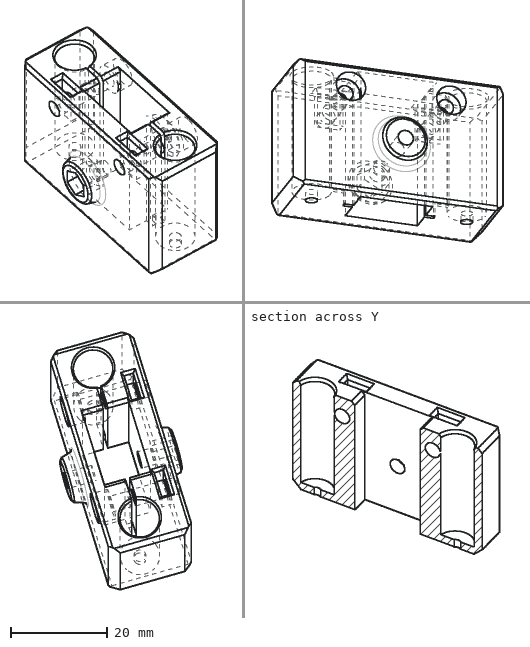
import cadquery as cq
import math

LENGTH = 46.0
WIDTH = 18.0
HEIGHT = 28.5

CORNER_CHAMFER = 2.0
TOP_END_CHAMFER = 1.0
BOTTOM_END_CHAMFER = 2.0
LONG_EDGE_CHAMFER = 0.75

BOSS_HEIGHT = 3.0
BOSS_TIP_RADIUS = 4.75
BOSS_TAPER = 15.0
BOSS_FILLET = 1.0
BOSS_CHAMFER = 0.5
BOSS_Z = 12.0

FRONT_HOLE_DIAMETER = 3.5
BACK_HOLE_DIAMETER = 3.3
NUT_WIDTH = 5.5

NUT_TRAP_DEPTH = 5.0

CENTRE_LINE_Y = 1.0
WINDOW_LENGTH = 15.8
WINDOW_WIDTH = 10.0
WINDOW_CHAMFER = 0.8

WELL_X = 17.0
WELL_DIAMETER = 8.2
WELL_MOUTH_FLARE = 0.4
WELL_MOUTH_DEPTH = 0.8
WELL_FLOOR = 2.0
WELL_DRAIN_DIAMETER = 2.5

SLIT_WIDTH = 1.0
SLIT_FLOOR = 3.0
OPEN_SLIT_LENGTH = 2.0

SCREW_X = 11.0
SCREW_DROP = 5.0
SCREW_HEAD_DIAMETER = 6.4
SCREW_HEAD_DEPTH = 3.6
POCKET_WIDTH = 2.0
POCKET_Y = -5.75
POCKET_MOUTH_DEPTH = 1.0
POCKET_MOUTH_ANGLE = 30.0
POCKET_MOUTH_FLARE = POCKET_MOUTH_DEPTH * math.tan(math.radians(POCKET_MOUTH_ANGLE))
POCKET_DEPTH = SCREW_DROP + NUT_WIDTH / 2

FRONT_Y = -WIDTH / 2
BACK_Y = WIDTH / 2
BOSS_FRONT_Y = FRONT_Y - BOSS_HEIGHT
BOSS_BACK_Y = BACK_Y + BOSS_HEIGHT
SCREW_Z = HEIGHT - SCREW_DROP


def box(x_size, y_size, z_size, x, y, z_bottom):
    """Box centred on (x, y) and standing on z_bottom."""
    base = cq.Workplane("XY", origin=(x, y, z_bottom))
    return base.box(x_size, y_size, z_size, centered=(True, True, False))


def upright_cylinder(diameter, height, x, y, z_bottom):
    """Cylinder parallel to Z standing on z_bottom."""
    return cq.Workplane("XY", origin=(x, y, z_bottom)).circle(diameter / 2).extrude(height)


def cylinder_along_y(diameter, y_start, y_end, x, z):
    """Cylinder parallel to Y from y_start to the larger y_end."""
    disc = cq.Workplane("XZ", origin=(x, y_start, z)).circle(diameter / 2)
    return disc.extrude(y_start - y_end)


def stepped_hole(x, z):
    """Round hole through block and bosses, wider in front of the window's centre line."""
    front = cylinder_along_y(FRONT_HOLE_DIAMETER, BOSS_FRONT_Y, CENTRE_LINE_Y, x, z)
    back = cylinder_along_y(BACK_HOLE_DIAMETER, CENTRE_LINE_Y, BOSS_BACK_Y, x, z)
    return front.union(back)


def rectangular_mouth(x_size, y_size, x_flare, y_flare, depth):
    """Mouth of a rectangular opening in the top face, wider at the top by the flares on each side."""
    lower = cq.Workplane("XY", origin=(0, 0, HEIGHT - depth)).rect(x_size, y_size)
    upper = lower.workplane(offset=depth).rect(x_size + 2 * x_flare, y_size + 2 * y_flare)
    return upper.loft(ruled=True)


def chamfered_prism(plane, size, bottom_chamfer, top_chamfer, depth):
    """Prism of full height whose rectangular section has chamfered corners, centred on the plane."""
    half = size / 2
    right = [
        (half - bottom_chamfer, 0),
        (half, bottom_chamfer),
        (half, HEIGHT - top_chamfer),
        (half - top_chamfer, HEIGHT),
    ]
    left = [(-u, z) for u, z in reversed(right)]
    return cq.Workplane(plane).polyline(right + left).close().extrude(depth / 2, both=True)


def block():
    """Plain block with every outer edge chamfered, as the overlap of three prisms."""
    plan = box(LENGTH, WIDTH, HEIGHT, 0, 0, 0).edges("|Z").chamfer(CORNER_CHAMFER)
    end_prism = chamfered_prism("XZ", LENGTH, BOTTOM_END_CHAMFER, TOP_END_CHAMFER, WIDTH)
    long_prism = chamfered_prism("YZ", WIDTH, LONG_EDGE_CHAMFER, LONG_EDGE_CHAMFER, LENGTH)
    return plan.intersect(end_prism).intersect(long_prism)


def boss():
    """Tapered boss on the back face with a filleted foot and a chamfered rim."""
    taper = math.radians(BOSS_TAPER)
    base_radius = BOSS_TIP_RADIUS + BOSS_HEIGHT * math.tan(taper)
    shoulder_height = BOSS_HEIGHT - BOSS_CHAMFER * math.cos(taper)
    shoulder_radius = BOSS_TIP_RADIUS + BOSS_CHAMFER * math.sin(taper)

    tangent = BOSS_FILLET * math.tan((math.pi / 2 - taper) / 2)
    foot_radius = base_radius + tangent
    arc_end = (base_radius - tangent * math.sin(taper), tangent * math.cos(taper))
    mid_angle = (math.pi / 2 + taper) / 2
    arc_middle = (
        foot_radius - BOSS_FILLET * math.cos(mid_angle),
        BOSS_FILLET * (1 - math.sin(mid_angle)),
    )

    profile = (
        cq.Workplane("XY")
        .lineTo(foot_radius, 0)
        .threePointArc(arc_middle, arc_end)
        .lineTo(shoulder_radius, shoulder_height)
        .lineTo(BOSS_TIP_RADIUS - BOSS_CHAMFER, BOSS_HEIGHT)
        .lineTo(0, BOSS_HEIGHT)
        .close()
    )
    return profile.revolve(360, (0, 0), (0, 1)).translate((0, BACK_Y, BOSS_Z))


def both_bosses():
    back_boss = boss()
    return back_boss.union(back_boss.mirror("XZ"))


def boss_bolt():
    """Through hole for the bolt and the hexagonal nut trap in the front boss."""
    hole = stepped_hole(0, BOSS_Z)
    hexagon = cq.Workplane("XZ", origin=(0, BOSS_FRONT_Y, BOSS_Z))
    trap = hexagon.polygon(6, NUT_WIDTH, circumscribed=True).extrude(-NUT_TRAP_DEPTH)
    return hole.union(trap)


def window():
    """Rectangular window through the height, chamfered at the top of its two ends."""
    opening = box(WINDOW_LENGTH, WINDOW_WIDTH, HEIGHT, 0, CENTRE_LINE_Y, 0)
    mouth = rectangular_mouth(WINDOW_LENGTH, WINDOW_WIDTH, WINDOW_CHAMFER, 0, WINDOW_CHAMFER)
    return opening.union(mouth.translate((0, CENTRE_LINE_Y, 0)))


def well_with_slit(side):
    """Blind round well with a widened mouth, a drain hole and a blind slit to the window."""
    x = side * WELL_X
    bore = upright_cylinder(WELL_DIAMETER, HEIGHT - WELL_FLOOR, x, CENTRE_LINE_Y, WELL_FLOOR)
    mouth_plane = cq.Workplane("XY", origin=(x, CENTRE_LINE_Y, HEIGHT - WELL_MOUTH_DEPTH))
    mouth = (
        mouth_plane.circle(WELL_DIAMETER / 2)
        .workplane(offset=WELL_MOUTH_DEPTH)
        .circle(WELL_DIAMETER / 2 + WELL_MOUTH_FLARE)
        .loft(ruled=True)
    )
    drain = upright_cylinder(WELL_DRAIN_DIAMETER, HEIGHT, x, CENTRE_LINE_Y, 0)
    slit = box(WELL_X, SLIT_WIDTH, HEIGHT - SLIT_FLOOR, x / 2, CENTRE_LINE_Y, SLIT_FLOOR)
    return bore.union(mouth).union(drain).union(slit)


def open_slits():
    """Slit beside the window at both ends, cut through the whole height."""
    length = WINDOW_LENGTH + 2 * OPEN_SLIT_LENGTH
    return box(length, SLIT_WIDTH, HEIGHT, 0, CENTRE_LINE_Y, 0)


def clamp_screw(side):
    """Screw hole from front to back, its head counterbore and its nut pocket."""
    x = side * SCREW_X
    hole = stepped_hole(x, SCREW_Z)
    head = cylinder_along_y(SCREW_HEAD_DIAMETER, BACK_Y - SCREW_HEAD_DEPTH, BACK_Y, x, SCREW_Z)
    pocket = box(NUT_WIDTH, POCKET_WIDTH, POCKET_DEPTH, x, POCKET_Y, HEIGHT - POCKET_DEPTH)
    flare = POCKET_MOUTH_FLARE
    mouth = rectangular_mouth(NUT_WIDTH, POCKET_WIDTH, flare, flare, POCKET_MOUTH_DEPTH)
    return hole.union(head).union(pocket).union(mouth.translate((x, POCKET_Y, 0)))


result = block().union(both_bosses())
result = result.cut(boss_bolt()).cut(window()).cut(open_slits())
for side in (-1, 1):
    result = result.cut(well_with_slit(side)).cut(clamp_screw(side))